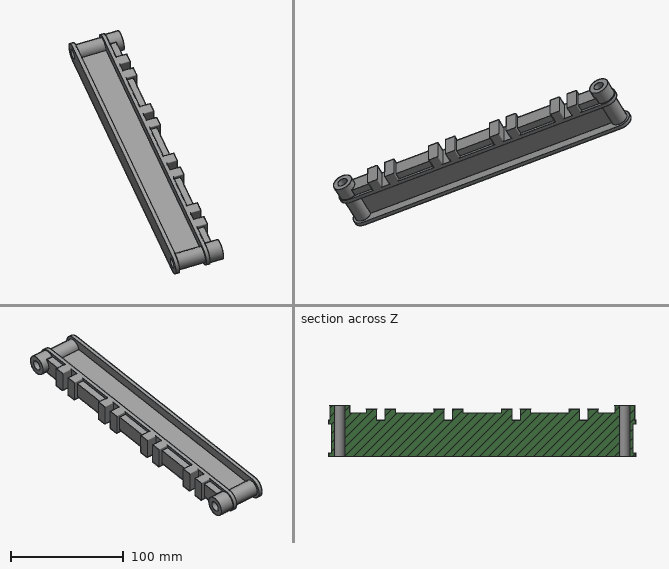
import cadquery as cq

length = 273.0
plate_height = 20.0
plate_thickness = 3.5
inner_gap = 25.5
rear_plate_y = plate_thickness + inner_gap
rear_face_y = rear_plate_y + plate_thickness

pivot_x = (length - plate_height) / 2
pivot_hole_diameter = 9.0
spacer_diameter = 15.0
boss_diameter = 18.0
total_depth = 45.5

web_thickness = 3.0

rail_depth = 6.5
rail_height = 14.7
rail_length = 241.3
tooth_depth = 9.8
tooth_width = 9.5
tooth_edge_radius = 0.8
tooth_gap = 7.0
tooth_pair_pitch = 60.0
tooth_pair_count = 4


def block(x, y, size_x, size_y, size_z):
    """Box centred on x and on Z = 0, growing toward +Y from y."""
    return cq.Workplane("XY").box(size_x, size_y, size_z, centered=(True, False, True)).translate((x, y, 0))


def side_plate(y):
    """Link plate with fully rounded ends, growing toward +Y from y."""
    return (
        cq.Workplane("XZ", origin=(0, y, 0))
        .slot2D(length, plate_height)
        .extrude(-plate_thickness)
    )


def pivot_cylinder(x, y, diameter, depth):
    """Cylinder along a pivot axis, growing toward +Y from y."""
    return cq.Workplane("XZ", origin=(x, y, 0)).circle(diameter / 2).extrude(-depth)


def tooth(x):
    """Tooth on the rear face, with its long top and bottom edges rounded."""
    return (
        block(x, rear_face_y, tooth_width, tooth_depth, plate_height)
        .edges("|Y")
        .fillet(tooth_edge_radius)
    )


result = side_plate(0).union(side_plate(rear_plate_y))
result = result.union(block(0, plate_thickness, 2 * pivot_x, inner_gap, web_thickness))

result = result.union(block(0, rear_face_y, rail_length, rail_depth, rail_height))
for i in range(tooth_pair_count):
    pair_x = (i - (tooth_pair_count - 1) / 2) * tooth_pair_pitch
    result = result.cut(block(pair_x, rear_face_y, tooth_gap, rail_depth, rail_height))
    for side in (-1, 1):
        tooth_x = pair_x + side * (tooth_gap + tooth_width) / 2
        result = result.union(tooth(tooth_x))

for x in (-pivot_x, pivot_x):
    result = result.union(pivot_cylinder(x, plate_thickness, spacer_diameter, inner_gap))
    result = result.union(pivot_cylinder(x, rear_face_y, boss_diameter, total_depth - rear_face_y))
    result = result.cut(pivot_cylinder(x, 0, pivot_hole_diameter, total_depth))